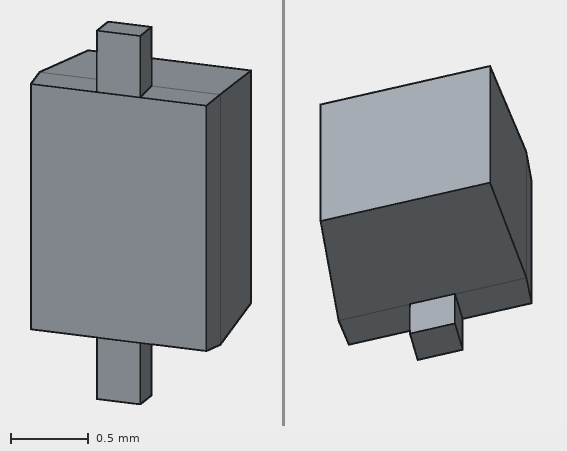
import cadquery as cq

overall_depth = 0.9
overall_length = 2.5

housing_width = 1.25
housing_length = 1.7
draft_angle = 5.0

lead_width = 0.3
lead_thickness = 0.2

front_y = -overall_depth / 2
parting_y = front_y + lead_thickness
back_depth = overall_depth - lead_thickness


def drafted_half(direction, depth):
    """Half of the housing, narrowing from the parting plane along +Y (1) or -Y (-1)."""
    parting_plane = cq.Plane(origin=(0, parting_y, 0), xDir=(1, 0, 0), normal=(0, direction, 0))
    return (
        cq.Workplane(parting_plane)
        .rect(housing_width, housing_length)
        .extrude(depth, taper=draft_angle)
    )


def make_housing():
    """Moulded housing made of a shallow front half and a deep back half."""
    return drafted_half(-1, lead_thickness).union(drafted_half(1, back_depth))


def make_lead(end, housing):
    """Straight lead at the top (1) or bottom (-1) end, its root fitted to the drafted end face."""
    bar_length = overall_length / 2
    bar = cq.Workplane("XY").box(lead_width, lead_thickness, bar_length)
    bar = bar.translate((0, front_y + lead_thickness / 2, end * bar_length / 2))
    return bar.cut(housing)


housing = make_housing()
leads = [make_lead(end, housing) for end in (1, -1)]

result = cq.Compound.makeCompound([housing.solids().val(), *[lead.solids().val() for lead in leads]])